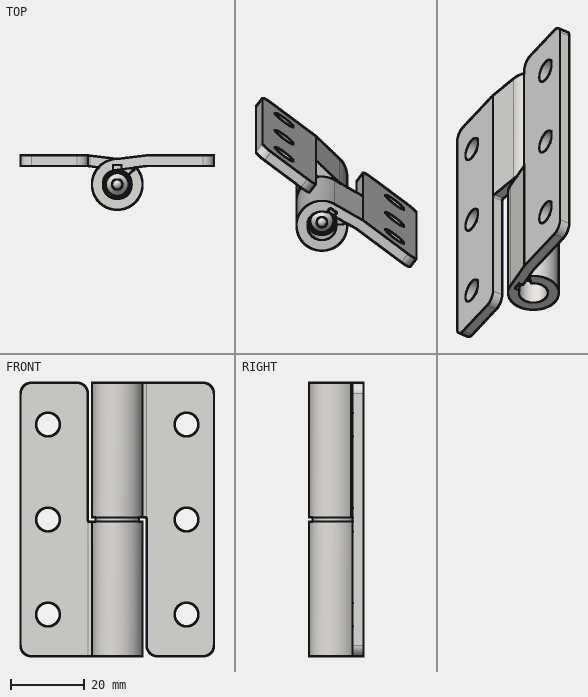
import cadquery as cq
import math

hinge_height = 75.0
hinge_width = 53.0
thickness = 3.0
plate_back_y = 8.0
corner_radius = 3.0

barrel_radius = 7.0
bore_radius = barrel_radius - thickness
bend_x = 8.0
roll_clearance = 0.5
notch_fillet = 0.5

hole_diameter = 6.45
hole_x = 19.0
hole_pitch = 26.0

key_width = 2.25
key_top_y = 5.3
key_depth = 1.3

washer_thickness = 1.2
washer_radius = 6.0

pin_recess = 7.5
pin_length = hinge_height - 2 * pin_recess
pin_chamfer = 0.3
tip_base_radius = 3.15
dome_radius = 1.4
tip_height = 1.9

half_height = hinge_height / 2
half_gap = washer_thickness / 2
plate_front_y = plate_back_y - thickness


def polar(radius, angle):
    return (radius * math.cos(angle), radius * math.sin(angle))


def make_plate():
    """Flat plate with rounded corners, except where the barrel web continues it."""
    plate_width = hinge_width / 2 - bend_x
    plate = (
        cq.Workplane("XY")
        .box(plate_width, thickness, hinge_height, centered=False)
        .translate((bend_x, plate_front_y, -half_height))
    )
    plate = plate.edges("|Y and >X").fillet(corner_radius)
    return plate.edges("|Y and <X and <Z").fillet(corner_radius)


def make_roll():
    """Sloping web tangent to a barrel that curls round under it."""
    slope = math.atan2(plate_front_y, bend_x) - math.asin(bore_radius / math.hypot(bend_x, plate_front_y))
    back_bend_x = bend_x + thickness * math.tan(slope / 2)
    tangent_angle = math.pi / 2 + slope
    end_angle = tangent_angle - math.acos(bore_radius / barrel_radius) - math.radians(roll_clearance)
    middle_angle = (tangent_angle + end_angle + 2 * math.pi) / 2
    return (
        cq.Workplane("XY")
        .workplane(offset=half_gap)
        .moveTo(back_bend_x, plate_back_y)
        .lineTo(*polar(barrel_radius, tangent_angle))
        .threePointArc(polar(barrel_radius, middle_angle), polar(barrel_radius, end_angle))
        .lineTo(*polar(bore_radius, end_angle))
        .threePointArc(polar(bore_radius, middle_angle), polar(bore_radius, tangent_angle))
        .lineTo(bend_x, plate_front_y)
        .close()
        .extrude(half_height - half_gap)
    )


def make_leaf():
    leaf = make_plate().union(make_roll())
    corner = cq.selectors.BoxSelector(
        (bend_x - thickness / 2, plate_front_y - thickness, half_gap - notch_fillet),
        (bend_x + thickness / 2, plate_back_y + thickness, half_gap + notch_fillet),
    )
    leaf = leaf.edges(corner).edges("|Y").fillet(notch_fillet)
    holes = (
        cq.Workplane("XZ", origin=(hole_x, plate_back_y, 0))
        .rarray(0.75, hole_pitch, 1, 3)
        .circle(hole_diameter / 2)
        .extrude(thickness)
    )
    key_notch = (
        cq.Workplane("XY")
        .box(key_width, key_top_y, key_depth, centered=(True, False, False))
        .translate((0, 0, half_height - key_depth))
    )
    return leaf.cut(holes).cut(key_notch)


def make_pin():
    shaft_end = pin_length / 2
    cone_end = shaft_end + tip_height
    dome_side = polar(dome_radius, math.pi / 4)
    half_pin = (
        cq.Workplane("XZ")
        .lineTo(bore_radius, 0)
        .lineTo(bore_radius, shaft_end - pin_chamfer)
        .lineTo(bore_radius - pin_chamfer, shaft_end)
        .lineTo(tip_base_radius, shaft_end)
        .lineTo(dome_radius, cone_end)
        .threePointArc((dome_side[0], cone_end + dome_side[1]), (0, cone_end + dome_radius))
        .close()
        .revolve(360, (0, 0, 0), (0, 1, 0))
    )
    return half_pin.union(half_pin.mirror("XY")).clean()


def make_washer():
    return (
        cq.Workplane("XY")
        .workplane(offset=-half_gap)
        .circle(washer_radius)
        .circle(bore_radius)
        .extrude(washer_thickness)
    )


leaves = [make_leaf().rotate((0, 0, 0), (0, 1, 0), turn) for turn in (0, 180)]
pin = make_pin()
washer = make_washer()

result = cq.Compound.makeCompound([*[leaf.val() for leaf in leaves], pin.val(), washer.val()])